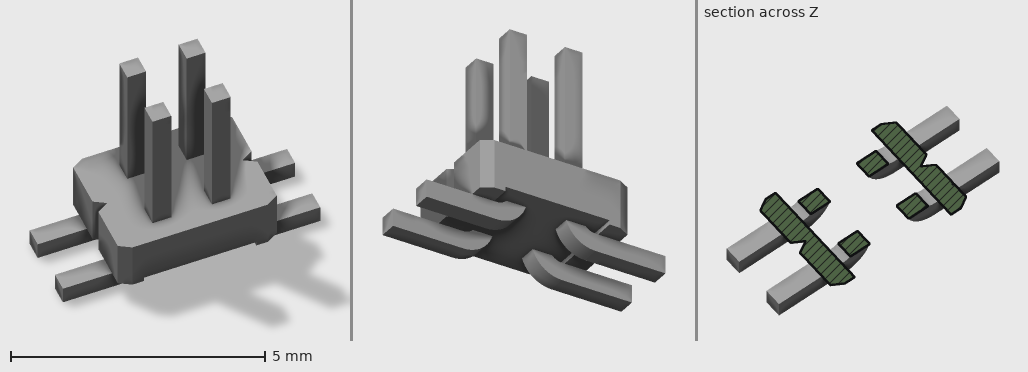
import cadquery as cq
import math

pitch = 1.27
columns = 2
pin_width = 0.4
pin_top = 4.5
foot_span = 5.5
inner_bend_radius = 0.3

body_width = columns * pitch
body_length = 3.4
body_bottom = pin_width
body_top = 1.5
corner_width = 0.15
corner_length = 0.255
relief_length = 2.4
relief_height = 0.1


def make_cell(center_x):
    """One column of the housing: a block with four bevelled vertical corners."""
    half_x = pitch / 2
    half_y = body_length / 2
    flat_x = half_x - corner_width
    flat_y = half_y - corner_length
    outline = [
        (flat_x, half_y),
        (half_x, flat_y),
        (half_x, -flat_y),
        (flat_x, -half_y),
        (-flat_x, -half_y),
        (-half_x, -flat_y),
        (-half_x, flat_y),
        (-flat_x, half_y),
    ]
    return (
        cq.Workplane("XY", origin=(center_x, 0, body_bottom))
        .polyline(outline)
        .close()
        .extrude(body_top - body_bottom)
    )


def make_relief():
    """Shallow channel under the housing that clears the pin bends."""
    return cq.Workplane("XY", origin=(0, 0, body_bottom)).box(
        body_width, relief_length, relief_height, centered=(True, True, False)
    )


def make_pin(center_x):
    """Square pin bent outward toward +Y into a flat solder foot."""
    inner_y = (pitch - pin_width) / 2
    outer_y = inner_y + pin_width
    outer_bend_radius = inner_bend_radius + pin_width
    bend_y = outer_y + inner_bend_radius
    bend_z = outer_bend_radius
    foot_end = foot_span / 2
    diagonal = math.sqrt(0.5)
    inner_offset = inner_bend_radius * diagonal
    outer_offset = outer_bend_radius * diagonal
    return (
        cq.Workplane("YZ", origin=(center_x, 0, 0))
        .moveTo(inner_y, pin_top)
        .lineTo(inner_y, bend_z)
        .threePointArc((bend_y - outer_offset, bend_z - outer_offset), (bend_y, 0))
        .lineTo(foot_end, 0)
        .lineTo(foot_end, pin_width)
        .lineTo(bend_y, pin_width)
        .threePointArc((bend_y - inner_offset, bend_z - inner_offset), (outer_y, bend_z))
        .lineTo(outer_y, pin_top)
        .close()
        .extrude(pin_width / 2, both=True)
    )


column_centers = [(i - (columns - 1) / 2) * pitch for i in range(columns)]

body = make_cell(column_centers[0])
for x in column_centers[1:]:
    body = body.union(make_cell(x))

result = body.cut(make_relief())
for x in column_centers:
    pin = make_pin(x)
    result = result.union(pin).union(pin.mirror("XZ"))
result = result.clean()